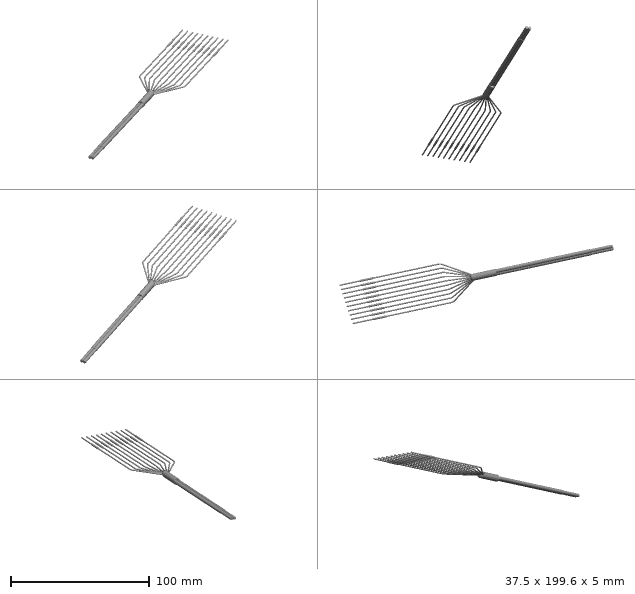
import cadquery as cq
import math

fan_tip_y = 99.8
sleeve_top_y = 84.5
sleeve_length = 10.2
sleeve_bottom_y = sleeve_top_y - sleeve_length
bend_y = 24.3
converge_y = 2.0
nose_y = 6.5
ferrule_end_y = -13.0
jacket_end_y = -83.0
cable_end_y = -99.8

fiber_count = 10
fan_width = 37.5
fiber_diameter = 1.0
sleeve_diameter = 1.5
fiber_pitch = (fan_width - sleeve_diameter) / (fiber_count - 1)
bend_radius = 4.0

ferrule_diameter = 5.0
nose_radius = 1.8

jacket_lobe_diameter = 2.8
jacket_lobe_spacing = ferrule_diameter - jacket_lobe_diameter
cable_lobe_diameter = 2.4
cable_lobe_spacing = 2.2
core_diameter = 2.0
core_length = 0.5


def rod(x, start_y, end_y, diameter):
    """Round rod parallel to Y, from start_y down to end_y."""
    section = cq.Workplane("XZ", origin=(x, start_y, 0)).circle(diameter / 2)
    return section.extrude(start_y - end_y)


def mirrored_pair(left_lobe):
    """The lobe together with its mirror image about the YZ plane."""
    return left_lobe.union(left_lobe.mirror("YZ"))


def bent_fiber(x):
    """Fiber running straight down at x, then bending toward the convergence point."""
    side = math.copysign(1, x)
    angle = math.atan2(abs(x), bend_y - converge_y)
    tangent_length = bend_radius * math.tan(angle / 2)
    center_x = x - side * bend_radius
    center_y = bend_y + tangent_length

    def arc_point(turn):
        point_x = center_x + side * bend_radius * math.cos(turn)
        point_y = center_y - bend_radius * math.sin(turn)
        return (point_x, point_y)

    path = (
        cq.Workplane("XY")
        .moveTo(x, sleeve_bottom_y)
        .lineTo(x, center_y)
        .threePointArc(arc_point(angle / 2), arc_point(angle))
        .lineTo(0, converge_y)
    )
    section = cq.Workplane("XZ", origin=(x, sleeve_bottom_y, 0)).circle(fiber_diameter / 2)
    return section.sweep(path)


def fiber(x):
    """One fan branch: straight tip, sleeve and bent fiber."""
    tip = rod(x, fan_tip_y, sleeve_top_y, fiber_diameter)
    sleeve = rod(x, sleeve_top_y, sleeve_bottom_y, sleeve_diameter)
    return tip.union(sleeve).union(bent_fiber(x))


def ferrule():
    """Cylinder with a rounded nose facing the fan."""
    body = rod(0, nose_y, ferrule_end_y, ferrule_diameter)
    return body.faces(">Y").edges().fillet(nose_radius)


def cable():
    """Jacketed twin cable with bare lobes ending in short protruding cores."""
    bare_end_y = cable_end_y + core_length
    jacket_lobe = rod(-jacket_lobe_spacing / 2, ferrule_end_y, jacket_end_y, jacket_lobe_diameter)
    bare_lobe = rod(-cable_lobe_spacing / 2, jacket_end_y, bare_end_y, cable_lobe_diameter)
    core = rod(-cable_lobe_spacing / 2, bare_end_y, cable_end_y, core_diameter)
    return mirrored_pair(jacket_lobe).union(mirrored_pair(bare_lobe)).union(mirrored_pair(core))


result = ferrule().union(cable())
for index in range(fiber_count):
    fiber_x = (index - (fiber_count - 1) / 2) * fiber_pitch
    result = result.union(fiber(fiber_x))